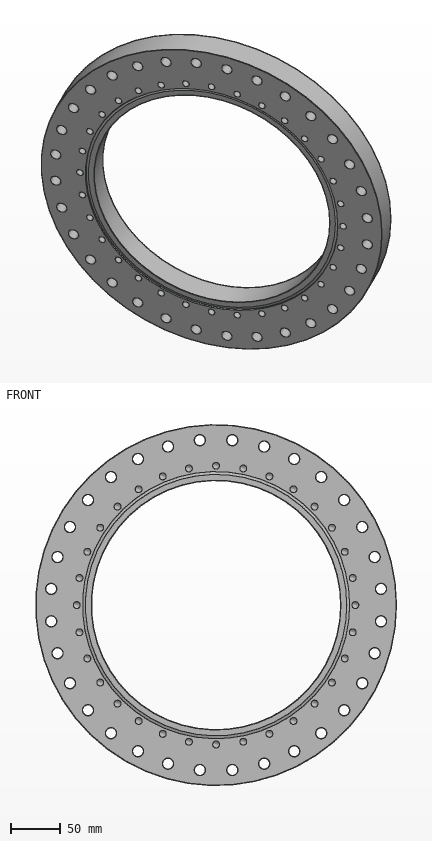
import cadquery as cq
import math

outer_radius = 184.0
thickness = 28.0
bore_radius = 127.0
rim_chamfer = 0.5
bore_chamfer = 0.5

recess_radius = 136.3
land_radius = 133.5
land_depth = 1.0
recess_depth = 2.2

hole_count = 32
hole_pitch = 360 / hole_count
bolt_circle_radius = 169.0
bolt_hole_diameter = 11.0
tapped_circle_radius = 142.0
tapped_hole_diameter = 7.0
tapped_hole_depth = 14.7
drill_tip_angle = 118

front_y = -thickness / 2
back_y = thickness / 2


def ring_body():
    """Revolve the half section, drawn as (radius, y), around the Y axis."""
    section = [
        (bore_radius, back_y),
        (outer_radius, back_y),
        (outer_radius, front_y + rim_chamfer),
        (outer_radius - rim_chamfer, front_y),
        (recess_radius, front_y),
        (recess_radius, front_y + recess_depth),
        (land_radius, front_y + land_depth),
        (bore_radius + bore_chamfer, front_y + land_depth),
        (bore_radius, front_y + land_depth + bore_chamfer),
    ]
    return cq.Workplane("XY").polyline(section).close().revolve(360, (0, 0, 0), (0, 1, 0))


def hole_circle(hole, circle_radius, start_angle):
    """Copies of a hole, modelled on the Y axis, spaced evenly around the flange."""
    holes = cq.Workplane("XY")
    placed = hole.translate((circle_radius, 0, 0))
    for index in range(hole_count):
        angle = start_angle + index * hole_pitch
        holes = holes.add(placed.rotate((0, 0, 0), (0, 1, 0), angle))
    return holes.combine()


def through_hole(diameter):
    """Plain cylinder running through the whole thickness."""
    return cq.Workplane("XZ", origin=(0, front_y, 0)).circle(diameter / 2).extrude(-thickness)


def drilled_hole(diameter, depth):
    """Blind hole from the sealing face, ending in a conical drill tip."""
    radius = diameter / 2
    tip_length = radius / math.tan(math.radians(drill_tip_angle / 2))
    section = [
        (0, front_y),
        (radius, front_y),
        (radius, front_y + depth),
        (0, front_y + depth + tip_length),
    ]
    return cq.Workplane("XY").polyline(section).close().revolve(360, (0, 0, 0), (0, 1, 0))


bolt_holes = hole_circle(through_hole(bolt_hole_diameter), bolt_circle_radius, hole_pitch / 2)
tapped_holes = hole_circle(drilled_hole(tapped_hole_diameter, tapped_hole_depth), tapped_circle_radius, 0)

result = ring_body().cut(bolt_holes).cut(tapped_holes)